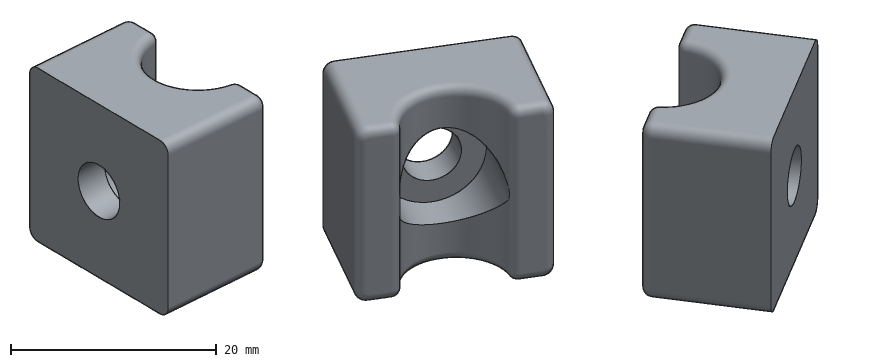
import cadquery as cq

side = 20.0
depth = 13.0
corner_radius = 1.2

edge_radius = 1.0

saddle_radius = 5.5

hole_diameter = 6.0

recess_diameter = 11.0
recess_floor = 3.5


def make_block():
    """Square block from Y = 0 to Y = depth, with rounded edges along Y."""
    block = cq.Workplane("XY").box(side, depth, side).translate((0, depth / 2, 0))
    return block.edges("|Y").fillet(corner_radius)


def make_saddle():
    """Cylinder that cuts the half-round saddle."""
    return cq.Workplane("XY").center(0, depth).circle(saddle_radius).extrude(side, both=True)


def make_hole():
    """Bolt hole from the front face, widening to the head recess that opens into the saddle."""
    hole = cq.Workplane("XZ").circle(hole_diameter / 2).extrude(-depth)
    recess = cq.Workplane("XZ", origin=(0, recess_floor, 0)).circle(recess_diameter / 2)
    return hole.union(recess.extrude(recess_floor - depth))


body = make_block().cut(make_saddle())

back_edges = body.faces(">Y").edges()
saddle_ends = body.faces("<Z or >Z").edges("%CIRCLE")
body = body.newObject(back_edges.vals() + saddle_ends.vals()).fillet(edge_radius)

result = body.cut(make_hole())